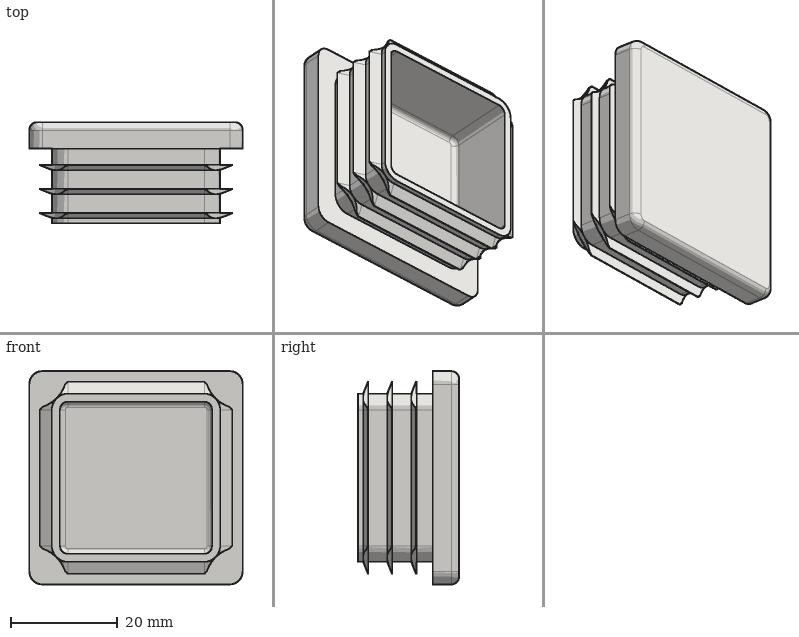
import cadquery as cq
import math


plate_side = 40.0
plate_thickness = 5.0
plate_corner_radius = 2.5
plate_rim_fillet = 1.5

total_depth = 19.0
plug_side = 31.5
plug_corner_radius = 3.0
plug_length = total_depth - plate_thickness

wall_thickness = 1.5
cavity_depth = plug_length
cavity_floor_fillet = 1.0
cavity_side = plug_side - 2 * wall_thickness
cavity_corner_radius = plug_corner_radius - wall_thickness

rib_count = 3
rib_span = 9.0
rib_pitch = rib_span / (rib_count - 1)
rib_side = 36.0
rib_root_thickness = 1.0
rib_tip_thickness = 0.1
last_rib_gap = 1.0
rib_relief_radius = 6.5
rib_height = (rib_side - plug_side) / 2
rib_corner_radius = plug_corner_radius + rib_height

outer_face_y = total_depth / 2
plate_back_y = outer_face_y - plate_thickness
plug_end_y = -total_depth / 2


def rounded_square(side, corner_radius, start_y, length, taper=0):
    """Square block with rounded corners that grows from start_y towards +Y; a negative taper widens it."""
    outline = cq.Sketch().rect(side, side).vertices().fillet(corner_radius)
    return cq.Workplane("XZ", origin=(0, start_y, 0)).placeSketch(outline).extrude(-length, taper=taper)


def cover_plate():
    plate = rounded_square(plate_side, plate_corner_radius, plate_back_y, plate_thickness)
    return plate.faces(">Y").edges().fillet(plate_rim_fillet)


def cavity():
    space = rounded_square(cavity_side, cavity_corner_radius, plug_end_y, cavity_depth)
    return space.faces(">Y").edges().fillet(cavity_floor_fillet)


def corner_relief(start_y):
    """Cutter for one rib corner: a flat across the corner, hollowed by an arc that touches the plug."""
    plug_arc_centre = plug_side / 2 - plug_corner_radius
    arc_centre = plug_arc_centre + (plug_corner_radius + rib_relief_radius) / math.sqrt(2)
    rib_reach = rib_side / 2
    flat_end = rib_reach - rib_corner_radius
    plane = cq.Workplane("XZ", origin=(0, start_y, 0))
    flat_outline = [(flat_end, rib_reach), (rib_reach, flat_end), (rib_reach, rib_reach)]
    flat = plane.polyline(flat_outline).close().extrude(-rib_root_thickness)
    hollow = plane.center(arc_centre, arc_centre).circle(rib_relief_radius).extrude(-rib_root_thickness)
    return flat.union(hollow)


def rib(start_y):
    """Rib with a flat face towards the plate and a sloping face towards the free end."""
    slope_length = rib_root_thickness - rib_tip_thickness
    slope_angle = math.degrees(math.atan2(rib_height, slope_length))
    slope = rounded_square(plug_side, plug_corner_radius, start_y, slope_length, -slope_angle)
    tip = rounded_square(rib_side, rib_corner_radius, start_y + slope_length, rib_tip_thickness)
    body = slope.union(tip)
    for quarter in range(4):
        body = body.cut(corner_relief(start_y).rotate((0, 0, 0), (0, 1, 0), 90 * quarter))
    return body


plug = rounded_square(plug_side, plug_corner_radius, plug_end_y, plug_length)
result = cover_plate().union(plug)
for index in range(rib_count):
    result = result.union(rib(plug_end_y + last_rib_gap + index * rib_pitch))
result = result.cut(cavity())